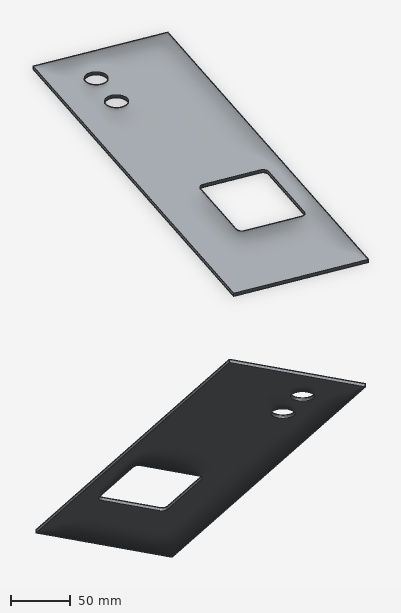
import cadquery as cq

length = 394.0
width = 125.0
thickness = 3.0

hole_diameter = 20.0
hole_inset = 39.8
hole_spacing = 39.8

window_length = 80.5
window_width = 63.0
window_corner_radius = 5.0
window_left_inset = 228.5
window_back_inset = 17.0

left = -length / 2
front = -width / 2
back = width / 2

plate = cq.Workplane("XY").box(length, width, thickness)

first_hole_x = left + hole_inset
hole_y = front + hole_inset
holes = (
    cq.Workplane("XY")
    .pushPoints([(first_hole_x, hole_y), (first_hole_x + hole_spacing, hole_y)])
    .circle(hole_diameter / 2)
    .extrude(thickness, both=True)
)

window_x = left + window_left_inset + window_length / 2
window_y = back - window_back_inset - window_width / 2
window = (
    cq.Workplane("XY")
    .center(window_x, window_y)
    .rect(window_length, window_width)
    .extrude(thickness, both=True)
    .edges("|Z")
    .fillet(window_corner_radius)
)

result = plate.cut(holes).cut(window)